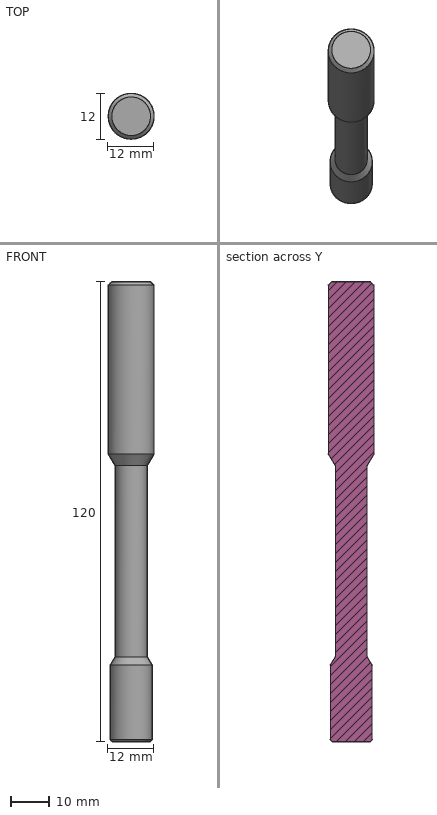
import cadquery as cq

length = 120.0

shank_radius = 6.0
shank_bottom = 75.0
shank_chamfer = 1.0

neck_radius = 4.2
neck_top = 72.0
neck_bottom = 22.2

head_radius = 5.5
head_top = 20.0
head_chamfer = 0.6

profile = [
    (0, 0),
    (head_radius - head_chamfer, 0),
    (head_radius, head_chamfer),
    (head_radius, head_top),
    (neck_radius, neck_bottom),
    (neck_radius, neck_top),
    (shank_radius, shank_bottom),
    (shank_radius, length - shank_chamfer),
    (shank_radius - shank_chamfer, length),
    (0, length),
]

result = cq.Workplane("XZ").polyline(profile).close().revolve(360, (0, 0, 0), (0, 1, 0))